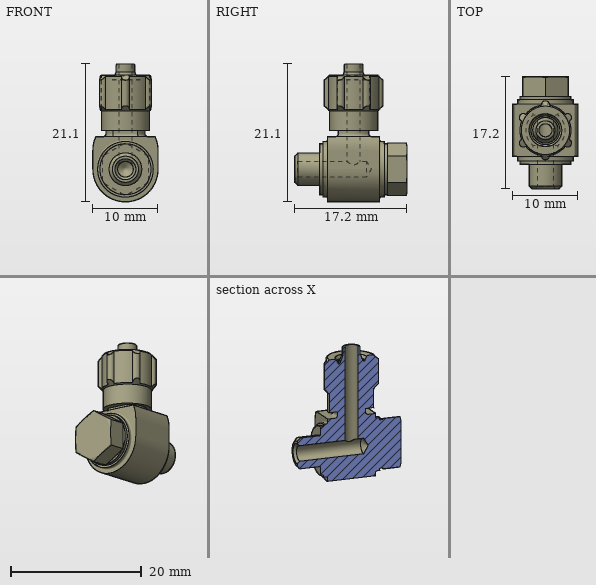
import cadquery as cq
import math


BODY_RADIUS = 5.0
BODY_LENGTH = 8.0
BODY_TOP = 5.0
SHOULDER_START = 2.88
SHOULDER_RADIUS = 5.0
BODY_EDGE_FILLET = 0.25

COLLAR_DIAMETER = 8.5
COLLAR_END = 4.7
COVE_RADIUS = 0.2
WASHER_DIAMETER = 7.8
WASHER_END = 5.2

BOLT_DIAMETER = 5.0
BOLT_TIP = 9.0
BOLT_CHAMFER = 0.5
HEAD_ACROSS_FLATS = 7.0
HEAD_LENGTH = 3.0
HEAD_CHAMFER_ANGLE = 15.0
BOLT_BORE_DIAMETER = 2.4
BOLT_BORE_END = 2.0
COUNTERSINK_DIAMETER = 3.2
DRILL_POINT_ANGLE = 118.0

NECK_DIAMETER = 6.0
NECK_ACROSS_FLATS = 4.7
NECK_FILLET = 0.4
SELECTION_MARGIN = 0.01

SLEEVE_BOTTOM = 5.9
SLEEVE_DIAMETER = 7.4
NUT_BOTTOM = 8.9
NUT_TOP = 14.4
NUT_DIAMETER = 7.8
RIB_WIDTH = 1.2
RIB_TIP_RADIUS = 4.5
RIB_FILLET = 0.56
BLANK_CLEARANCE = 0.1
RIB_COUNT = 6
RIB_START_ANGLE = 30.0
MOUTH_DIAMETER = 5.0
MOUTH_ROUNDING = 0.16
TAPER_END = 13.75
RECESS_FLOOR = 13.6
RECESS_FLOOR_DIAMETER = 4.4

NIPPLE_DIAMETER = 2.9
NIPPLE_TOP = 16.1
NIPPLE_TIP_FILLET = 0.25
NIPPLE_CONE_TOP = 14.85
NIPPLE_BASE_DIAMETER = 3.9
NIPPLE_BORE_DIAMETER = 2.0


def cylinder_z(diameter, bottom, top):
    return cq.Workplane("XY").workplane(offset=bottom).circle(diameter / 2).extrude(top - bottom)


def revolve_about_y(outline):
    """Revolve a (radius, y) outline about the bolt axis."""
    return cq.Workplane("XY").polyline(outline).close().revolve(360, (0, 0), (0, 1))


def revolve_about_z(outline):
    """Revolve a (radius, z) outline about the connector axis."""
    return cq.Workplane("XZ").polyline(outline).close().revolve(360, (0, 0), (0, 1))


def make_body():
    """Round bottom, straight sides, and shoulders drawn in towards a flat top."""
    def shoulder_half_width(height):
        rise = height - SHOULDER_START
        return BODY_RADIUS - SHOULDER_RADIUS + math.sqrt(SHOULDER_RADIUS**2 - rise**2)

    top_half = shoulder_half_width(BODY_TOP)
    middle_height = (SHOULDER_START + BODY_TOP) / 2
    middle_half = shoulder_half_width(middle_height)
    return (
        cq.Workplane("XZ")
        .moveTo(-BODY_RADIUS, 0)
        .threePointArc((0, -BODY_RADIUS), (BODY_RADIUS, 0))
        .lineTo(BODY_RADIUS, SHOULDER_START)
        .threePointArc((middle_half, middle_height), (top_half, BODY_TOP))
        .lineTo(-top_half, BODY_TOP)
        .threePointArc((-middle_half, middle_height), (-BODY_RADIUS, SHOULDER_START))
        .close()
        .extrude(BODY_LENGTH / 2, both=True)
        .edges("|Y and >Z")
        .fillet(BODY_EDGE_FILLET)
    )


def make_collar():
    """Collar and washer on the +Y end, joined to the body by a small cove."""
    face = BODY_LENGTH / 2
    radius = COLLAR_DIAMETER / 2
    cove_middle = COVE_RADIUS * (1 - math.sqrt(0.5))
    return (
        cq.Workplane("XY")
        .moveTo(0, 0)
        .lineTo(0, WASHER_END)
        .lineTo(WASHER_DIAMETER / 2, WASHER_END)
        .lineTo(WASHER_DIAMETER / 2, COLLAR_END)
        .lineTo(radius, COLLAR_END)
        .lineTo(radius, face + COVE_RADIUS)
        .threePointArc((radius + cove_middle, face + cove_middle), (radius + COVE_RADIUS, face))
        .lineTo(radius + COVE_RADIUS, 0)
        .close()
        .revolve(360, (0, 0), (0, 1))
    )


def make_bolt_shank():
    length = BOLT_TIP - WASHER_END
    shank = cq.Workplane("XZ").workplane(offset=WASHER_END).circle(BOLT_DIAMETER / 2).extrude(length)
    return shank.faces("<Y").chamfer(BOLT_CHAMFER)


def make_bolt_head():
    """Hexagon with corners up and down, its outer corners turned off by a shallow cone."""
    corner_radius = HEAD_ACROSS_FLATS / math.sqrt(3)
    flat_radius = HEAD_ACROSS_FLATS / 2
    head_end = WASHER_END + HEAD_LENGTH
    hexagon = (
        cq.Workplane("XZ", origin=(0, WASHER_END, 0))
        .transformed(rotate=(0, 0, 90))
        .polygon(6, 2 * corner_radius)
        .extrude(-HEAD_LENGTH)
    )
    corner_drop = (corner_radius - flat_radius) * math.tan(math.radians(HEAD_CHAMFER_ANGLE))
    turned_blank = revolve_about_y([
        (0, WASHER_END),
        (corner_radius, WASHER_END),
        (corner_radius, head_end - corner_drop),
        (flat_radius, head_end),
        (0, head_end),
    ])
    return hexagon.intersect(turned_blank)


def make_neck():
    """Round neck with two flats facing along Y."""
    neck = cylinder_z(NECK_DIAMETER, BODY_TOP, SLEEVE_BOTTOM)
    flats = cq.Workplane("XY").box(NECK_DIAMETER, NECK_ACROSS_FLATS, 2 * SLEEVE_BOTTOM)
    return neck.intersect(flats)


def make_rib():
    """Rib reaching out along +X, its two outer edges rounded over almost to the middle."""
    return (
        cq.Workplane("XY")
        .workplane(offset=NUT_BOTTOM)
        .center(RIB_TIP_RADIUS / 2, 0)
        .rect(RIB_TIP_RADIUS, RIB_WIDTH)
        .extrude(NUT_TOP - NUT_BOTTOM)
        .edges("|Z and >X")
        .fillet(RIB_FILLET)
    )


def make_nut():
    """Ribbed nut on a plain sleeve, with every rib end turned off at 45 degrees."""
    sleeve_radius = SLEEVE_DIAMETER / 2
    blank_radius = RIB_TIP_RADIUS + BLANK_CLEARANCE
    bevel = blank_radius - sleeve_radius
    rib = make_rib()
    ribbed = cylinder_z(NUT_DIAMETER, NUT_BOTTOM, NUT_TOP)
    for index in range(RIB_COUNT):
        angle = RIB_START_ANGLE + index * 360 / RIB_COUNT
        ribbed = ribbed.union(rib.rotate((0, 0, 0), (0, 0, 1), angle))
    turned_blank = revolve_about_z([
        (0, NUT_BOTTOM),
        (sleeve_radius, NUT_BOTTOM),
        (blank_radius, NUT_BOTTOM + bevel),
        (blank_radius, NUT_TOP - bevel),
        (sleeve_radius, NUT_TOP),
        (0, NUT_TOP),
    ])
    sleeve = cylinder_z(SLEEVE_DIAMETER, SLEEVE_BOTTOM, NUT_BOTTOM)
    return ribbed.intersect(turned_blank).union(sleeve)


def make_nut_recess():
    """Recess around the nipple: straight at the floor, then tapered, with a rounded mouth."""
    floor_radius = RECESS_FLOOR_DIAMETER / 2
    mouth_radius = MOUTH_DIAMETER / 2
    rounding_middle = MOUTH_ROUNDING * (1 - math.sqrt(0.5))
    return (
        cq.Workplane("XZ")
        .moveTo(0, RECESS_FLOOR)
        .lineTo(floor_radius, RECESS_FLOOR)
        .lineTo(floor_radius, TAPER_END)
        .lineTo(mouth_radius, NUT_TOP - MOUTH_ROUNDING)
        .threePointArc(
            (mouth_radius + rounding_middle, NUT_TOP - rounding_middle),
            (mouth_radius + MOUTH_ROUNDING, NUT_TOP),
        )
        .lineTo(0, NUT_TOP)
        .close()
        .revolve(360, (0, 0), (0, 1))
    )


def make_nipple():
    """Rounded tube end widening to a cone that stands on the recess floor."""
    cone = revolve_about_z([
        (0, RECESS_FLOOR),
        (NIPPLE_BASE_DIAMETER / 2, RECESS_FLOOR),
        (NIPPLE_DIAMETER / 2, NIPPLE_CONE_TOP),
        (0, NIPPLE_CONE_TOP),
    ])
    tube = cylinder_z(NIPPLE_DIAMETER, NIPPLE_CONE_TOP, NIPPLE_TOP)
    return cone.union(tube.faces(">Z").edges().fillet(NIPPLE_TIP_FILLET))


def make_bolt_bore():
    """Blind bore from the bolt tip with a countersunk mouth and a drill point."""
    radius = BOLT_BORE_DIAMETER / 2
    mouth_radius = COUNTERSINK_DIAMETER / 2
    countersink_depth = mouth_radius - radius
    point_length = radius / math.tan(math.radians(DRILL_POINT_ANGLE / 2))
    return revolve_about_y([
        (0, -BOLT_TIP),
        (mouth_radius, -BOLT_TIP),
        (radius, countersink_depth - BOLT_TIP),
        (radius, BOLT_BORE_END),
        (0, BOLT_BORE_END + point_length),
    ])


def make_body_with_neck():
    """Body and neck joined, with a fillet all round the foot of the neck."""
    foot_edges = cq.selectors.BoxSelector(
        (-NECK_DIAMETER / 2, -NECK_ACROSS_FLATS / 2 - SELECTION_MARGIN, BODY_TOP - SELECTION_MARGIN),
        (NECK_DIAMETER / 2, NECK_ACROSS_FLATS / 2 + SELECTION_MARGIN, BODY_TOP + SELECTION_MARGIN),
    )
    return make_body().union(make_neck()).edges(foot_edges).fillet(NECK_FILLET)


collar = make_collar()
result = (
    make_body_with_neck()
    .union(collar)
    .union(collar.mirror("XZ"))
    .union(make_bolt_shank())
    .union(make_bolt_head())
    .union(make_nut())
    .cut(make_nut_recess())
    .union(make_nipple())
    .cut(cylinder_z(NIPPLE_BORE_DIAMETER, 0, NIPPLE_TOP))
    .cut(make_bolt_bore())
)